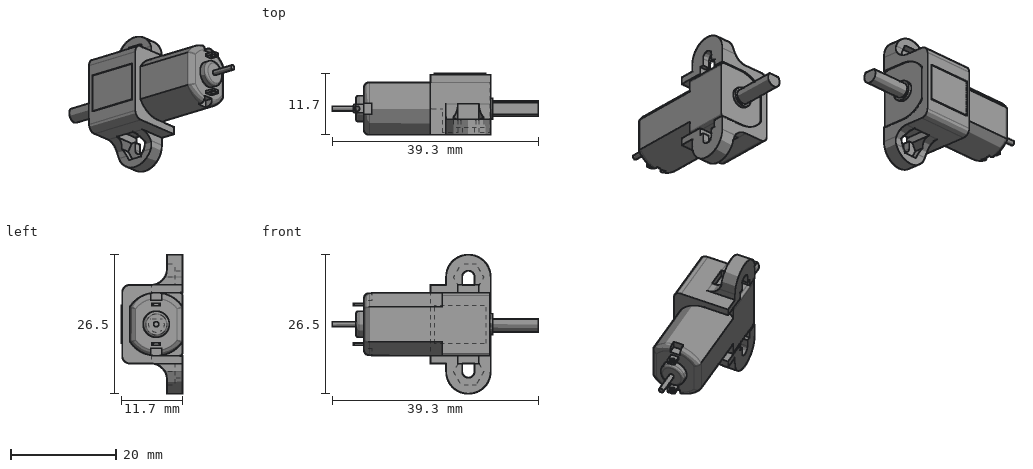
import cadquery as cq
import math


boss_x = 4.5
motor_x = 6.0
bracket_x = 18.7
gearbox_x = 20.97
gearbox_end_x = 29.95
bracket_end_x = 30.2
bearing_end_x = 30.6
shaft_end_x = 39.27

can_radius = 6.0
can_width = 10.0
can_half_width = can_width / 2
can_edge_radius = 1.05
notch_width = 2.1
notch_length = 1.55
notch_floor_z = 4.6

rear_shaft_diameter = 1.0
boss_diameter = 5.0
boss_edge_radius = 0.5
bearing_diameter = 4.0
shaft_diameter = 3.0
shaft_flat_height = 1.02

terminal_x = 4.0
terminal_width = 1.6
terminal_thickness = 0.47
terminal_z = 3.77
terminal_chamfer = 0.25
terminal_hole_diameter = 1.0
terminal_hole_x = 4.75

gearbox_edge_radius = 0.5

mount_y = -can_half_width
wall = 1.5
bracket_half_height = can_radius + wall
bracket_back_y = can_half_width + wall
bracket_corner_radius = 1.5
label_x = 19.48
label_length = 9.75
label_height = 7.3
label_thickness = 0.2

lug_z = 9.0
lug_width = 8.52
lug_radius = lug_width / 2
lug_x = bracket_end_x - lug_radius
lug_thickness = 3.0
lug_fillet_radius = 3.0
slot_width = 2.3
nut_across_flats = 5.0
nut_seat_depth = lug_thickness / 2


def rod(x_start, x_end, diameter):
    """Cylinder on the motor axis."""
    return cq.Workplane("YZ", origin=(x_start, 0, 0)).circle(diameter / 2).extrude(x_end - x_start)


def block(x_start, x_end, y_start, y_end, z_start, z_end):
    """Box between two limits on each axis."""
    size = (x_end - x_start, y_end - y_start, z_end - z_start)
    return cq.Workplane("XY", origin=(x_start, y_start, z_start)).box(*size, centered=False)


def both_ends(upper):
    """The given upper feature and its mirror image below the axis."""
    return upper.union(upper.mirror("XY"))


def can_prism(x_start, x_end):
    """Round bar with a flat on its -Y and +Y sides."""
    flats = block(x_start, x_end, -can_half_width, can_half_width, -can_radius, can_radius)
    return rod(x_start, x_end, 2 * can_radius).intersect(flats)


def make_motor():
    can = can_prism(motor_x, gearbox_x).faces("<X").edges().fillet(can_edge_radius)
    notch = block(
        motor_x, motor_x + notch_length,
        -notch_width / 2, notch_width / 2,
        notch_floor_z, can_radius,
    )
    boss = rod(boss_x, motor_x, boss_diameter).faces("<X").edges().fillet(boss_edge_radius)
    rear_shaft = rod(0, boss_x, rear_shaft_diameter)
    return can.cut(both_ends(notch)).union(boss).union(rear_shaft)


def make_terminal():
    bottom_z = terminal_z - terminal_thickness / 2
    tab = block(
        terminal_x, motor_x,
        -terminal_width / 2, terminal_width / 2,
        bottom_z, bottom_z + terminal_thickness,
    )
    tab = tab.edges("|Z and <X").chamfer(terminal_chamfer)
    hole = (
        cq.Workplane("XY", origin=(terminal_hole_x, 0, bottom_z))
        .circle(terminal_hole_diameter / 2)
        .extrude(terminal_thickness)
    )
    return tab.cut(hole)


def make_gearbox():
    return block(
        gearbox_x, gearbox_end_x, mount_y, can_half_width, -can_radius, can_radius
    ).edges("|X and <Y").fillet(gearbox_edge_radius)


def make_output():
    bearing = rod(gearbox_end_x, bearing_end_x, bearing_diameter)
    below_flat = block(
        bearing_end_x, shaft_end_x,
        -shaft_diameter / 2, shaft_diameter / 2,
        -shaft_diameter / 2, shaft_flat_height,
    )
    shaft = rod(bearing_end_x, shaft_end_x, shaft_diameter).intersect(below_flat)
    return bearing.union(shaft)


def make_bracket():
    """U-shaped bracket, open to -Y and closed around the back of the can."""
    body = block(
        bracket_x, bracket_end_x,
        mount_y, bracket_back_y,
        -bracket_half_height, bracket_half_height,
    )
    body = body.edges("|X and >Y").fillet(bracket_corner_radius)
    channel = block(bracket_x, bracket_end_x, mount_y, 0, -can_radius, can_radius)
    body = body.cut(channel).cut(can_prism(bracket_x, bracket_end_x))
    label = block(
        label_x, label_x + label_length,
        bracket_back_y, bracket_back_y + label_thickness,
        -label_height / 2, label_height / 2,
    )
    return body.union(label)


def make_lug():
    """Upper lug: round-ended plate that sweeps into the bracket behind it."""
    tip_z = lug_z + lug_radius
    plate_back_y = mount_y + lug_thickness
    sweep_y = plate_back_y + lug_fillet_radius
    sweep_z = bracket_half_height + lug_fillet_radius
    arc_offset = lug_fillet_radius * math.sqrt(0.5)
    side = (
        cq.Workplane("YZ", origin=(lug_x - lug_radius, 0, 0))
        .moveTo(mount_y, can_radius)
        .lineTo(sweep_y, can_radius)
        .lineTo(sweep_y, bracket_half_height)
        .threePointArc((sweep_y - arc_offset, sweep_z - arc_offset), (plate_back_y, sweep_z))
        .lineTo(plate_back_y, tip_z)
        .lineTo(mount_y, tip_z)
        .close()
        .extrude(2 * lug_radius)
    )
    outline = (
        cq.Workplane("XZ", origin=(lug_x, sweep_y, 0))
        .moveTo(-lug_radius, can_radius)
        .lineTo(-lug_radius, lug_z)
        .threePointArc((0, tip_z), (lug_radius, lug_z))
        .lineTo(lug_radius, can_radius)
        .close()
        .extrude(sweep_y - mount_y)
    )
    return side.intersect(outline)


def make_lug_cutter():
    """Screw slot, hexagonal nut seat behind it, and the nut's way in through the wall."""
    back_y = mount_y + lug_thickness + lug_fillet_radius
    half_slot = slot_width / 2
    slot = (
        cq.Workplane("XZ", origin=(lug_x, back_y, 0))
        .moveTo(-half_slot, can_radius)
        .lineTo(-half_slot, lug_z)
        .threePointArc((0, lug_z + half_slot), (half_slot, lug_z))
        .lineTo(half_slot, can_radius)
        .close()
        .extrude(back_y - mount_y)
    )
    nut_across_corners = nut_across_flats / math.cos(math.pi / 6)
    nut_seat = (
        cq.Workplane("XZ", origin=(lug_x, back_y, lug_z))
        .polygon(6, nut_across_corners)
        .extrude(back_y - mount_y - nut_seat_depth)
    )
    half_opening = nut_across_corners / 2 - (lug_z - bracket_half_height) / math.sqrt(3)
    opening = block(
        lug_x - half_opening, lug_x + half_opening,
        mount_y, back_y,
        can_radius, bracket_half_height,
    )
    return slot.union(nut_seat).union(opening)


bracket = make_bracket().union(both_ends(make_lug())).cut(both_ends(make_lug_cutter()))
result = (
    bracket.union(make_motor())
    .union(make_gearbox())
    .union(make_output())
    .union(both_ends(make_terminal()))
)